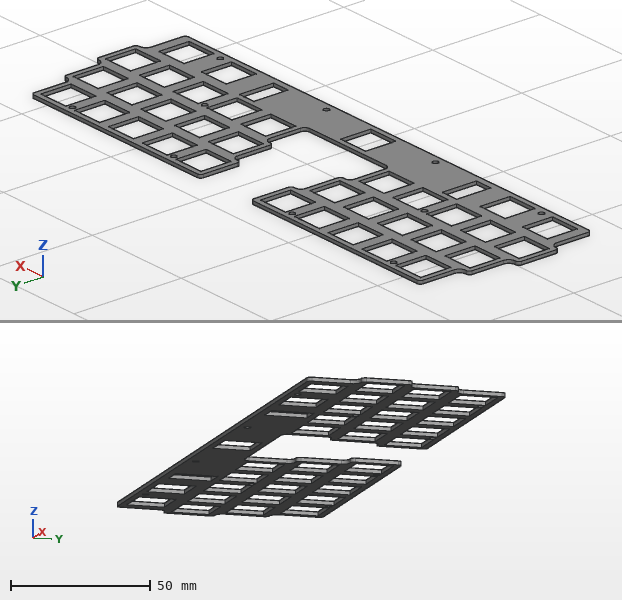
import cadquery as cq

key_pitch = 19.0
thickness = 1.5
wing_rows = 3
plate_depth = (wing_rows + 1) * key_pitch

outer_corner_radius = 1.5
step_corner_radius = 2 * outer_corner_radius
gap_corner_radius = 2.5

keys_per_row = 5
row_stagger = key_pitch / 4
top_row_inner_edge = 0.75 * key_pitch
row_width = keys_per_row * key_pitch
row_inner_edges = [top_row_inner_edge + row * row_stagger for row in range(wing_rows)]

bottom_row_half_width = row_inner_edges[1] + row_width
bottom_row_y = (key_pitch - plate_depth) / 2
wide_key_width = 1.25 * key_pitch
wide_keys_per_side = 2

switch_size = 14.0
stabilizer_x = 3 * key_pitch
stabilizer_y = -27.1
stabilizer_width = 8.0
stabilizer_height = 16.0

screw_diameter = 2.5
screw_row_offset = 6.0
bottom_inner_screw_x = 30.7


def row_edge_y(row):
    """Height of the upper edge of a row; rows count down from 0 at the top."""
    return plate_depth / 2 - row * key_pitch


def row_center_y(row):
    return row_edge_y(row) - key_pitch / 2


def mirrored(points):
    """Return the points together with their mirror images across x = 0."""
    return points + [(-x, y) for x, y in points if x != 0]


def slab(width, height, x, y):
    return cq.Workplane("XY").box(width, height, thickness).translate((x, y, 0))


def round_corners(body, corners, radius):
    for x, y in mirrored(corners):
        body = body.edges("|Z").edges(cq.NearestToPointSelector((x, y, 0))).fillet(radius)
    return body


def plate_blank():
    blank = slab(2 * bottom_row_half_width, key_pitch, 0, bottom_row_y)
    for row, inner_edge in enumerate(row_inner_edges):
        for side in (-1, 1):
            row_x = side * (inner_edge + row_width / 2)
            blank = blank.union(slab(row_width, key_pitch, row_x, row_center_y(row)))
    return blank.clean()


def with_rounded_outline(blank):
    outer_edges = [inner_edge + row_width for inner_edge in row_inner_edges] + [bottom_row_half_width]
    upper_outer = [(outer_edges[row], row_edge_y(row)) for row in range(wing_rows)]
    lower_outer = [(outer_edges[row], row_edge_y(row + 1)) for row in (2, 3)]
    upper_inner = [(row_inner_edges[0], row_edge_y(0))]
    lower_inner = [(row_inner_edges[row], row_edge_y(row + 1)) for row in (0, 1)]
    step_corners = [(outer_edges[row], row_edge_y(row + 1)) for row in (0, 1)]
    step_corners.append((bottom_row_half_width, row_edge_y(wing_rows)))
    gap_corners = [(row_inner_edges[row], row_edge_y(row)) for row in (1, 2)]
    gap_corners.append((row_inner_edges[2], row_edge_y(wing_rows)))

    body = round_corners(
        blank, upper_outer + lower_outer + upper_inner + lower_inner, outer_corner_radius
    )
    body = round_corners(body, step_corners, step_corner_radius)
    return round_corners(body, gap_corners, gap_corner_radius)


def switch_centers():
    centers = [
        (inner_edge + (column + 0.5) * key_pitch, row_center_y(row))
        for row, inner_edge in enumerate(row_inner_edges)
        for column in range(keys_per_row)
    ]
    centers.append((0, bottom_row_y))
    for key in range(wide_keys_per_side):
        centers.append((bottom_row_half_width - (key + 0.5) * wide_key_width, bottom_row_y))
    return mirrored(centers)


def screw_centers():
    top_y = row_center_y(0) + screw_row_offset
    third_row_y = row_center_y(2) + screw_row_offset
    bottom_y = bottom_row_y - screw_row_offset
    top_inner_x = row_inner_edges[0] + key_pitch
    outer_x = row_inner_edges[0] + (keys_per_row - 1) * key_pitch
    third_row_x = row_inner_edges[2] + 2 * key_pitch
    return mirrored([
        (top_inner_x, top_y),
        (outer_x, top_y),
        (third_row_x, third_row_y),
        (outer_x, bottom_y),
        (bottom_inner_screw_x, bottom_y),
    ])


def cut_windows(body, centers, width, height):
    cutter = cq.Workplane("XY").pushPoints(centers).rect(width, height)
    return body.cut(cutter.extrude(thickness, both=True))


def drill_screw_holes(body):
    drill = cq.Workplane("XY").pushPoints(screw_centers()).circle(screw_diameter / 2)
    return body.cut(drill.extrude(thickness, both=True))


plate = with_rounded_outline(plate_blank())
plate = cut_windows(plate, switch_centers(), switch_size, switch_size)
plate = cut_windows(
    plate, mirrored([(stabilizer_x, stabilizer_y)]), stabilizer_width, stabilizer_height
)
result = drill_screw_holes(plate)